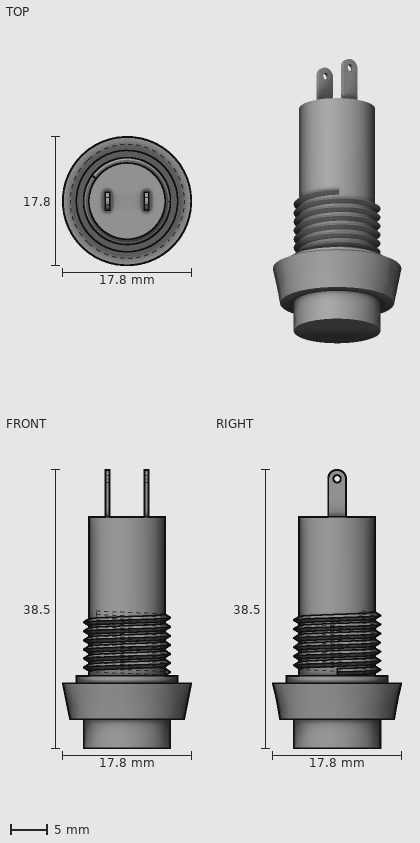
import cadquery as cq


lens_radius = 6.0
lens_height = 4.0
bezel_bottom_radius = 7.9
bezel_top_radius = 8.9
bezel_height = 5.0
collar_radius = 7.0
collar_height = 1.0
barrel_radius = 5.27
barrel_top = 32.0

bezel_top = lens_height + bezel_height
collar_top = bezel_top + collar_height

thread_radius = 6.0
thread_base_width = 0.92
thread_turns = 6.4
thread_rise = 8.0
thread_start_gap = 0.55
thread_overlap = 0.1

overall_height = 38.5
tab_width = 2.5
tab_thickness = 0.58
tab_offset = 2.7
tab_hole_diameter = 1.0


def make_body():
    """Revolve the lens, flared bezel, collar and barrel as one profile."""
    profile = [
        (0, 0),
        (lens_radius, 0),
        (lens_radius, lens_height),
        (bezel_bottom_radius, lens_height),
        (bezel_top_radius, bezel_top),
        (collar_radius, bezel_top),
        (collar_radius, collar_top),
        (barrel_radius, collar_top),
        (barrel_radius, barrel_top),
        (0, barrel_top),
    ]
    return cq.Workplane("XZ").polyline(profile).close().revolve(360, (0, 0), (0, 1))


def make_thread():
    """Sweep a sharp V ridge along a helix, with its root inside the barrel."""
    pitch = thread_rise / thread_turns
    start_z = collar_top + thread_start_gap
    root_radius = barrel_radius - thread_overlap
    half_base = thread_base_width / 2
    half_root = half_base * (thread_radius - root_radius) / (thread_radius - barrel_radius)
    helix = cq.Wire.makeHelix(pitch, thread_rise, barrel_radius, cq.Vector(0, 0, start_z))
    ridge = [
        (root_radius, start_z - half_root),
        (thread_radius, start_z),
        (root_radius, start_z + half_root),
    ]
    return cq.Workplane("XZ").polyline(ridge).close().sweep(cq.Workplane(helix), isFrenet=True)


def make_tab(center_x):
    """Flat tab with a full-round tip and a hole concentric with that tip."""
    half_width = tab_width / 2
    tip_center_z = overall_height - half_width
    plane = cq.Workplane("YZ", origin=(center_x - tab_thickness / 2, 0, 0))
    tab = (
        plane.moveTo(-half_width, barrel_top)
        .lineTo(half_width, barrel_top)
        .lineTo(half_width, tip_center_z)
        .threePointArc((0, overall_height), (-half_width, tip_center_z))
        .close()
        .extrude(tab_thickness)
    )
    hole = plane.center(0, tip_center_z).circle(tab_hole_diameter / 2).extrude(tab_thickness)
    return tab.cut(hole)


result = make_body().union(make_thread())
for tab_x in (-tab_offset, tab_offset):
    result = result.union(make_tab(tab_x))